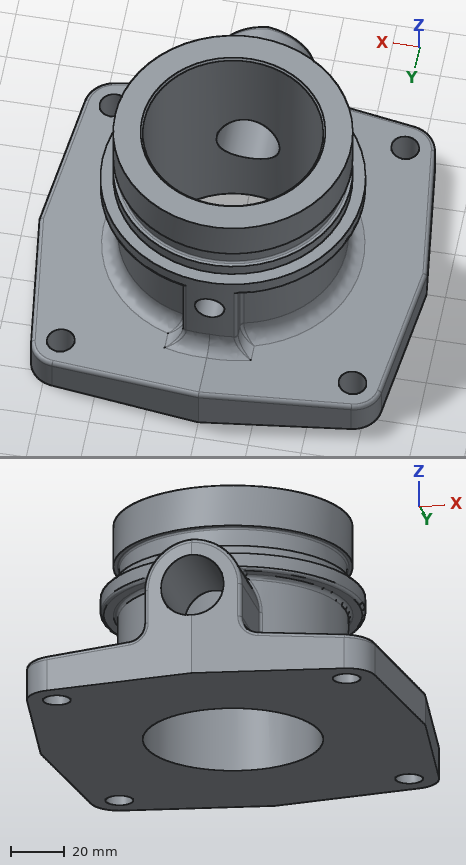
import cadquery as cq
import math

plate_reach = 73.025
bolt_offset = 55.0
bolt_hole_diameter = 10.3
corner_radius = 11.1
ridge_height = 17.1
eave_height = 12.9

collar_height = 84.15
collar_radius = 42.86
flange_radius = 49.2
flange_bottom = 49.2
flange_top = 55.56
neck_radius = 44.45
groove_bottom = 60.3
groove_top = 68.3
groove_radius = 42.3
groove_fillet = 0.7
bore_diameter = 67.0
bore_chamfer = 0.8

boss_radius = 18.4
port_height = 34.9
port_diameter = 23.8

pad_width = 20.6
pad_hole_diameter = 11.1
pad_hole_height = 39.7

root_fillet = 6.35
edge_fillet = 1.59
flange_fillet = 1.2

tolerance = 0.05


def disc(radius, bottom, top):
    return cq.Workplane("XY", origin=(0, 0, bottom)).circle(radius).extrude(top - bottom)


def fillet_where(body, radius, test):
    chosen = [edge for edge in body.edges().vals() if test(edge)]
    return body.newObject(chosen).fillet(radius)


def plate_outline():
    gap = plate_reach - bolt_offset
    distance = math.hypot(bolt_offset, gap)
    tangent_angle = math.atan2(gap, bolt_offset) - math.asin(corner_radius / distance)
    across = corner_radius * math.sin(tangent_angle)
    along = corner_radius * math.cos(tangent_angle)
    diagonal = corner_radius / math.sqrt(2)
    near = bolt_offset + across
    far = bolt_offset + along
    mid = bolt_offset + diagonal
    outline = cq.Workplane("XY").moveTo(0, -plate_reach)
    outline = outline.lineTo(near, -far).threePointArc((mid, -mid), (far, -near))
    outline = outline.lineTo(plate_reach, 0)
    outline = outline.lineTo(far, near).threePointArc((mid, mid), (near, far))
    outline = outline.lineTo(0, plate_reach)
    outline = outline.lineTo(-near, far).threePointArc((-mid, mid), (-far, near))
    outline = outline.lineTo(-plate_reach, 0)
    outline = outline.lineTo(-far, -near).threePointArc((-mid, -mid), (-near, -far))
    return outline.close()


def plate_with_boss():
    roof = (
        cq.Workplane("XZ", origin=(0, plate_reach, 0))
        .moveTo(-plate_reach, 0)
        .lineTo(plate_reach, 0)
        .lineTo(plate_reach, eave_height)
        .lineTo(0, ridge_height)
        .lineTo(-plate_reach, eave_height)
        .close()
        .extrude(2 * plate_reach)
    )
    boss = (
        cq.Workplane("XZ")
        .moveTo(-boss_radius, 0)
        .lineTo(boss_radius, 0)
        .lineTo(boss_radius, port_height)
        .threePointArc((0, port_height + boss_radius), (-boss_radius, port_height))
        .close()
        .extrude(plate_reach)
    )
    return plate_outline().extrude(collar_height).intersect(roof.union(boss))


def pad():
    strip = (
        cq.Workplane("XY", origin=(0, flange_radius, 0))
        .rect(pad_width, 2 * flange_radius)
        .extrude(flange_top)
    )
    return strip.intersect(disc(flange_radius, 0, flange_top))


def roof_height(x):
    return ridge_height - (ridge_height - eave_height) * abs(x) / plate_reach


def radial_distance(point):
    return math.hypot(point.x, point.y)


def is_near_outline(edge):
    return radial_distance(edge.Center()) > 0.9 * plate_reach


def is_root(edge):
    points = [edge.positionAt(t) for t in (0, 0.5, 1)]
    on_roof = all(abs(p.z - roof_height(p.x)) < tolerance for p in points)
    on_ridge = all(abs(p.x) < tolerance for p in points)
    return on_roof and not on_ridge and not is_near_outline(edge)


def is_upright_corner(edge, half_width, radius):
    box = edge.BoundingBox()
    length = box.zmax - box.zmin
    upright = box.xmax - box.xmin < tolerance and box.zmin > ridge_height and length > root_fillet
    on_side_wall = abs(abs(box.xmin) - half_width) < tolerance
    return upright and on_side_wall and abs(radial_distance(edge.Center()) - radius) < tolerance


def is_pad_inner_corner(edge):
    return is_upright_corner(edge, pad_width / 2, collar_radius)


def is_pad_outer_corner(edge):
    return is_upright_corner(edge, pad_width / 2, flange_radius)


def is_boss_seam(edge):
    return is_upright_corner(edge, boss_radius, collar_radius)


def is_outer_rim(edge):
    return edge.BoundingBox().zmin > eave_height - tolerance and is_near_outline(edge)


def casting():
    body = plate_with_boss().union(disc(collar_radius, 0, flange_top)).union(pad())
    body = fillet_where(body, root_fillet, is_root)
    body = fillet_where(body, edge_fillet, is_pad_inner_corner)
    body = fillet_where(body, edge_fillet, is_pad_outer_corner)
    body = fillet_where(body, edge_fillet, is_boss_seam)
    return fillet_where(body, edge_fillet, is_outer_rim)


def flange():
    inside = bore_diameter / 2
    cove_bottom = flange_bottom - edge_fillet
    cove_inset = edge_fillet * (1 - math.sqrt(0.5))
    rim_inset = flange_fillet * (1 - math.sqrt(0.5))
    return (
        cq.Workplane("XZ")
        .moveTo(inside, cove_bottom)
        .lineTo(collar_radius, cove_bottom)
        .threePointArc(
            (collar_radius + cove_inset, flange_bottom - cove_inset),
            (collar_radius + edge_fillet, flange_bottom),
        )
        .lineTo(flange_radius - flange_fillet, flange_bottom)
        .threePointArc(
            (flange_radius - rim_inset, flange_bottom + rim_inset),
            (flange_radius, flange_bottom + flange_fillet),
        )
        .lineTo(flange_radius, flange_top)
        .lineTo(inside, flange_top)
        .close()
        .revolve(360, (0, 0, 0), (0, 1, 0))
    )


def flange_to_boss_blend():
    blend_inner = 40.0
    blend_outer = 53.0
    blend_low = 41.0
    blend_high = 55.0
    rounded_disc = disc(flange_radius, flange_bottom, flange_top).faces("<Z").edges().fillet(flange_fillet)
    boss_bar = cq.Workplane("XZ", origin=(0, 0, port_height)).circle(boss_radius).extrude(plate_reach)

    def is_crossing(edge):
        points = [edge.positionAt(t) for t in (0.1, 0.5, 0.9)]
        on_boss = all(abs(math.hypot(p.x, p.z - port_height) - boss_radius) < tolerance for p in points)
        box = edge.BoundingBox()
        off_center = box.xmax - box.xmin > tolerance or abs(box.xmin) > tolerance
        outside_disc = box.ymin < -flange_radius - 1
        return on_boss and off_center and box.zmin > flange_bottom - tolerance and not outside_disc

    blended = fillet_where(rounded_disc.union(boss_bar), flange_fillet, is_crossing)
    block = (
        cq.Workplane("XY", origin=(0, -(blend_inner + blend_outer) / 2, blend_low))
        .rect(2 * boss_radius + 2, blend_outer - blend_inner)
        .extrude(blend_high - blend_low)
    )
    return blended.intersect(block)


def neck():
    body = disc(neck_radius, flange_top, collar_height)
    ring = disc(neck_radius + 1, groove_bottom, groove_top)
    core = disc(groove_radius, groove_bottom, groove_top)
    grooved = body.cut(ring.cut(core))

    def is_groove_root(edge):
        on_core = abs(radial_distance(edge.positionAt(0)) - groove_radius) < tolerance
        return on_core and edge.geomType() == "CIRCLE"

    return fillet_where(grooved, groove_fillet, is_groove_root)


def bore():
    hole = disc(bore_diameter / 2, 0, collar_height)
    mouth = (
        cq.Workplane("XY", origin=(0, 0, collar_height))
        .circle(bore_diameter / 2 + bore_chamfer)
        .workplane(offset=-bore_chamfer)
        .circle(bore_diameter / 2)
        .loft()
    )
    return hole.union(mouth)


def cross_hole(diameter, height, reach):
    return cq.Workplane("XZ", origin=(0, 0, height)).circle(diameter / 2).extrude(reach)


def bolt_holes():
    corners = [(x, y) for x in (-bolt_offset, bolt_offset) for y in (-bolt_offset, bolt_offset)]
    return cq.Workplane("XY").pushPoints(corners).circle(bolt_hole_diameter / 2).extrude(ridge_height)


result = (
    casting()
    .union(flange())
    .union(flange_to_boss_blend())
    .union(neck())
    .cut(bore())
    .cut(cross_hole(port_diameter, port_height, plate_reach))
    .cut(cross_hole(pad_hole_diameter, pad_hole_height, -plate_reach))
    .cut(bolt_holes())
)